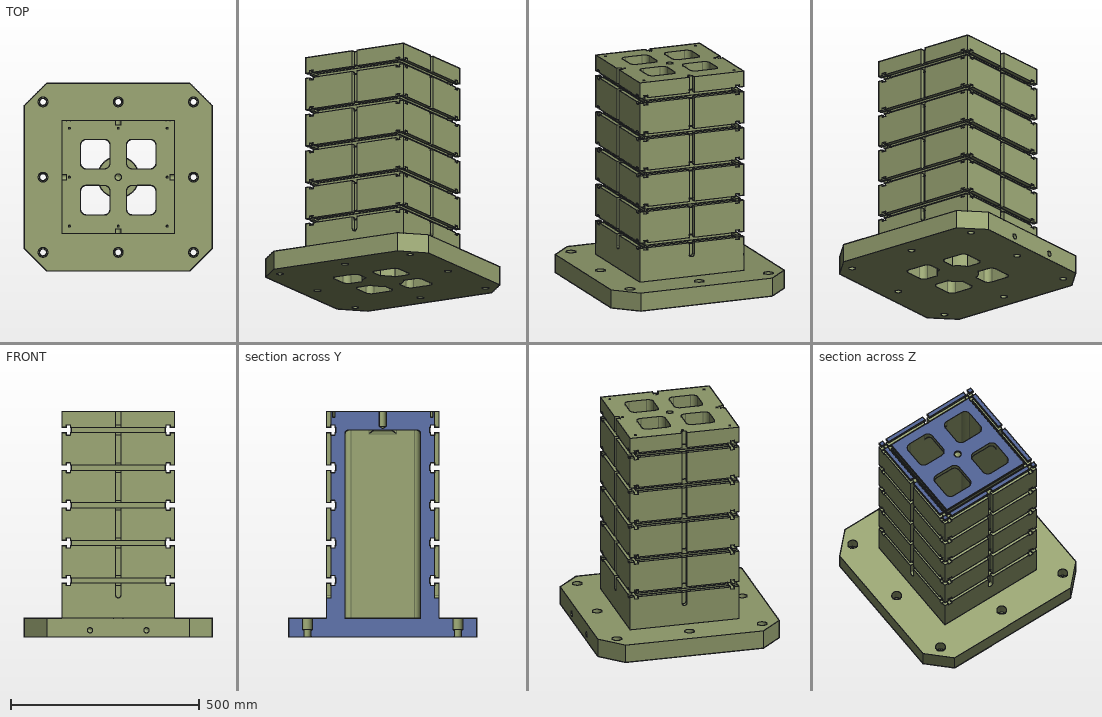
import cadquery as cq
import math

BASE_SIZE = 500.0
BASE_HEIGHT = 50.0
BASE_CORNER_CHAMFER = 60.0

MOUNT_PITCH = 200.0
MOUNT_DIAMETER = 18.0
MOUNT_COUNTERBORE_DIAMETER = 26.0
MOUNT_COUNTERBORE_DEPTH = 30.0

EDGE_HOLE_DIAMETER = 14.0
EDGE_HOLE_OFFSET = 75.0
EDGE_HOLE_HEIGHT = 18.0
EDGE_HOLE_DEPTH = 30.0

TOTAL_HEIGHT = 600.0
TOWER_SIZE = 300.0

T_SLOT_COUNT = 5
T_SLOT_PITCH = 100.0
T_SLOT_LOWEST = 150.0
T_SLOT_THROAT_WIDTH = 14.0
T_SLOT_HEAD_WIDTH = 26.0
T_SLOT_LIP = 12.0
T_SLOT_HEAD_DEPTH = 11.0
T_SLOT_DEPTH = 24.5

GROOVE_WIDTH = 14.0
GROOVE_DEPTH = 12.0
GROOVE_BOTTOM = 104.0

WELL_SIZE = 78.0
WELL_OFFSET = 61.0
WELL_CORNER_RADIUS = 15.0
TOP_PLATE_THICKNESS = 50.0
HOLLOW_ROOF_FILLET = 10.0
HOLLOW_SIZE = 2 * WELL_OFFSET + WELL_SIZE

HUB_DIAMETER = 110.0

LIFT_HOLE_DIAMETER = 17.5
LIFT_HOLE_DEPTH = 40.0
PIN_HOLE_DIAMETER = 5.0
PIN_HOLE_PITCH = 130.0
PIN_HOLE_DEPTH = 15.0

DRILL_POINT_ANGLE = 118.0
TOWER_SIDES = 4
QUARTER_TURN = 360.0 / TOWER_SIDES
TIP_TOWARDS_PLUS_Y = 90.0
ORIGIN = (0, 0, 0)
X_AXIS = (1, 0, 0)
Z_AXIS = (0, 0, 1)


def ring_of_eight(pitch):
    """Points of a 3 x 3 square grid without its centre."""
    steps = (-pitch, 0, pitch)
    return [(x, y) for x in steps for y in steps if (x, y) != (0, 0)]


def drilled_hole(diameter, depth):
    """Cutter along -Z from the origin: a cylinder with a conical drill point."""
    radius = diameter / 2
    point_height = radius / math.tan(math.radians(DRILL_POINT_ANGLE / 2))
    profile = [(0, 0), (radius, 0), (radius, -depth), (0, -depth - point_height)]
    return cq.Workplane("XZ").polyline(profile).close().revolve()


def base_plate():
    plate = cq.Workplane("XY").box(BASE_SIZE, BASE_SIZE, BASE_HEIGHT, centered=(True, True, False))
    return plate.edges("|Z").chamfer(BASE_CORNER_CHAMFER)


def tower():
    block_height = TOTAL_HEIGHT - BASE_HEIGHT
    return (
        cq.Workplane("XY", origin=(0, 0, BASE_HEIGHT))
        .box(TOWER_SIZE, TOWER_SIZE, block_height, centered=(True, True, False))
    )


def wells(height):
    """Cutter for four wells of the given height, starting at Z = 0."""
    return (
        cq.Workplane("XY")
        .rect(2 * WELL_OFFSET, 2 * WELL_OFFSET, forConstruction=True)
        .vertices()
        .rect(WELL_SIZE, WELL_SIZE)
        .extrude(height)
        .edges("|Z")
        .fillet(WELL_CORNER_RADIUS)
    )


def cut_interior(body):
    """Open the wells in the base around its hub, the tower hollow and the wells in the top plate."""
    hub = cq.Workplane("XY").circle(HUB_DIAMETER / 2).extrude(BASE_HEIGHT)
    base_wells = wells(BASE_HEIGHT).cut(hub)
    hollow_top = TOTAL_HEIGHT - TOP_PLATE_THICKNESS
    hollow = (
        cq.Workplane("XY", origin=(0, 0, BASE_HEIGHT))
        .rect(HOLLOW_SIZE, HOLLOW_SIZE)
        .extrude(hollow_top - BASE_HEIGHT)
        .edges("|Z")
        .fillet(WELL_CORNER_RADIUS)
        .faces(">Z")
        .edges()
        .fillet(HOLLOW_ROOF_FILLET)
    )
    well_bottom = hollow_top - HOLLOW_ROOF_FILLET
    top_wells = wells(TOTAL_HEIGHT - well_bottom).translate((0, 0, well_bottom))
    return body.cut(base_wells).cut(hollow).cut(top_wells)


def t_slot(height):
    """T-slot cutter running along X in the -Y side of the tower."""
    side = -TOWER_SIZE / 2
    throat = (
        cq.Workplane("XY")
        .box(TOWER_SIZE, T_SLOT_DEPTH, T_SLOT_THROAT_WIDTH, centered=(True, False, True))
        .translate((0, side, height))
    )
    head = (
        cq.Workplane("XY")
        .box(TOWER_SIZE, T_SLOT_HEAD_DEPTH, T_SLOT_HEAD_WIDTH, centered=(True, False, True))
        .translate((0, side + T_SLOT_LIP, height))
    )
    return throat.union(head)


def guide_groove():
    """Round-ended vertical groove cutter in the -Y side of the tower."""
    radius = GROOVE_WIDTH / 2
    end_centre = GROOVE_BOTTOM + radius
    return (
        cq.Workplane("XZ", origin=(0, -TOWER_SIZE / 2, 0))
        .moveTo(-radius, TOTAL_HEIGHT)
        .lineTo(-radius, end_centre)
        .threePointArc((0, GROOVE_BOTTOM), (radius, end_centre))
        .lineTo(radius, TOTAL_HEIGHT)
        .close()
        .extrude(-GROOVE_DEPTH)
    )


def cut_tower_sides(body):
    """Cut the T-slots and the guide groove into all four tower sides."""
    cutters = [t_slot(T_SLOT_LOWEST + i * T_SLOT_PITCH) for i in range(T_SLOT_COUNT)]
    cutters.append(guide_groove())
    for turn in range(TOWER_SIDES):
        for cutter in cutters:
            body = body.cut(cutter.rotate(ORIGIN, Z_AXIS, turn * QUARTER_TURN))
    return body


def cut_mounting_holes(body):
    places = ring_of_eight(MOUNT_PITCH)
    bores = cq.Workplane("XY").pushPoints(places).circle(MOUNT_DIAMETER / 2).extrude(BASE_HEIGHT)
    counterbores = (
        cq.Workplane("XY", origin=(0, 0, BASE_HEIGHT))
        .pushPoints(places)
        .circle(MOUNT_COUNTERBORE_DIAMETER / 2)
        .extrude(-MOUNT_COUNTERBORE_DEPTH)
    )
    return body.cut(bores).cut(counterbores)


def cut_edge_holes(body):
    hole = drilled_hole(EDGE_HOLE_DIAMETER, EDGE_HOLE_DEPTH)
    cutter = hole.rotate(ORIGIN, X_AXIS, TIP_TOWARDS_PLUS_Y)
    for x in (-EDGE_HOLE_OFFSET, EDGE_HOLE_OFFSET):
        body = body.cut(cutter.translate((x, -BASE_SIZE / 2, EDGE_HOLE_HEIGHT)))
    return body


def cut_top_holes(body):
    body = body.cut(drilled_hole(LIFT_HOLE_DIAMETER, LIFT_HOLE_DEPTH).translate((0, 0, TOTAL_HEIGHT)))
    pin_hole = drilled_hole(PIN_HOLE_DIAMETER, PIN_HOLE_DEPTH)
    for x, y in ring_of_eight(PIN_HOLE_PITCH):
        body = body.cut(pin_hole.translate((x, y, TOTAL_HEIGHT)))
    return body


result = base_plate().union(tower())
result = cut_interior(result)
result = cut_tower_sides(result)
result = cut_mounting_holes(result)
result = cut_edge_holes(result)
result = cut_top_holes(result)